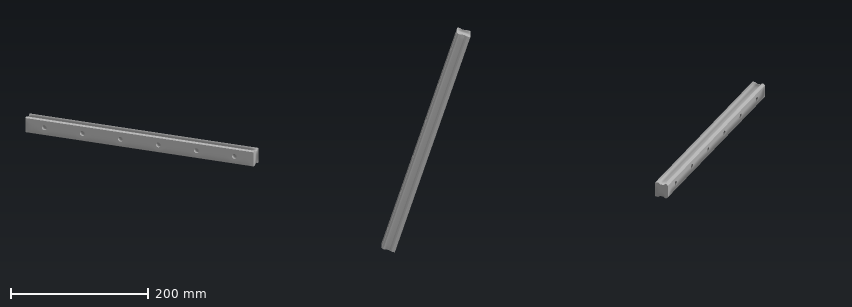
import cadquery as cq

length = 360.0
width = 20.0
height = 23.0

back_chamfer = 2.0
front_chamfer = 0.7

groove_depth = 2.0
groove_mouth_back = 5.8
groove_wall_foot = 4.0
groove_wall_depth = 1.8
groove_floor_back = 3.0
groove_floor_front = -1.8
groove_mouth_front = -5.0

hole_count = 6
hole_diameter = 7.2
hole_pitch = length / hole_count

half_width = width / 2
half_height = height / 2
groove_floor = half_height - groove_depth


def make_rail():
    """Extrude the rail section, which is mirrored about its mid-height."""
    upper_outline = [
        (half_width, half_height - back_chamfer),
        (half_width - back_chamfer, half_height),
        (groove_mouth_back, half_height),
        (groove_wall_foot, half_height - groove_wall_depth),
        (groove_floor_back, groove_floor),
        (groove_floor_front, groove_floor),
        (groove_mouth_front, half_height),
        (front_chamfer - half_width, half_height),
        (-half_width, half_height - front_chamfer),
    ]
    lower_outline = [(y, -z) for y, z in reversed(upper_outline)]
    section = cq.Workplane("YZ").polyline(upper_outline + lower_outline).close()
    return section.extrude(length / 2, both=True)


def make_holes():
    """Cylinders along Y, evenly spaced with half a pitch at each end."""
    centres = cq.Workplane("XZ").rarray(hole_pitch, 3.5, hole_count, 1)
    return centres.circle(hole_diameter / 2).extrude(half_width, both=True)


result = make_rail().cut(make_holes())